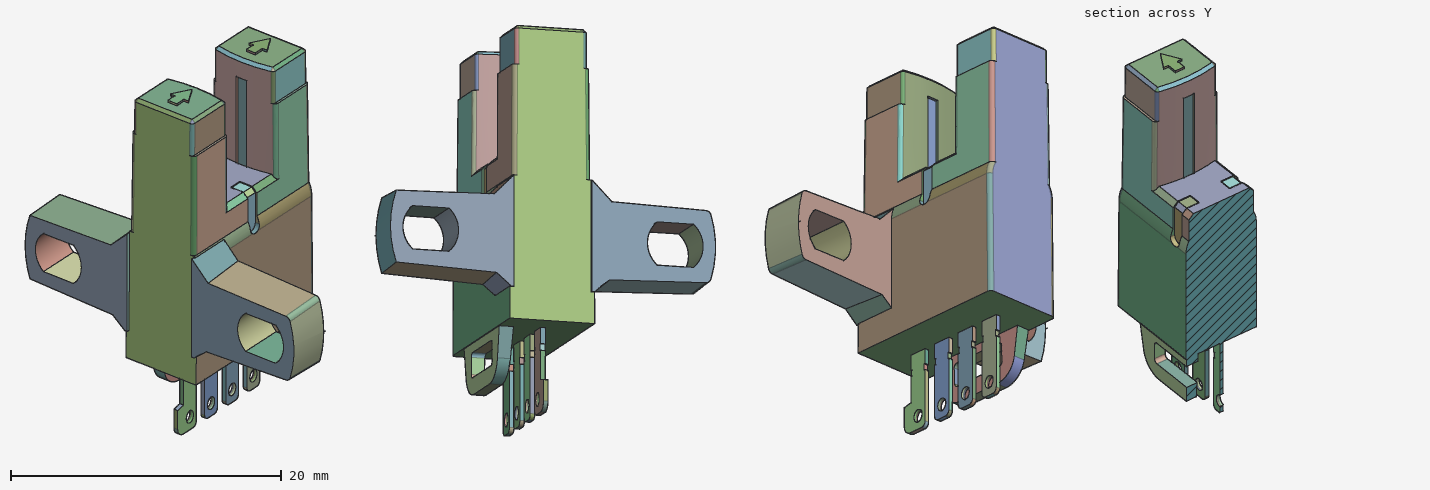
import cadquery as cq

BASE_HALF_WIDTH = 3.29
WALL_TOP_Z = 9.81
SHOULDER_Z = 10.86
ARM_HALF_WIDTH = 3.02
STEP_Z = 19.28
ARM_HALF_WIDTH_AT_STEP = 2.965
CAP_HALF_WIDTH = 2.78
TOP_Z = 22.25
OVERALL_DEPTH = 14.4
BASE_HALF_DEPTH = 7.11
TOP_HALF_DEPTH = 6.86
EDGE_RADIUS = 0.33
CAP_EDGE_RADIUS = 0.27
CAP_CHAMFER = 0.25

GAP_FLOOR_Z = 13.24
GAP_HALF_MIDDLE = 2.53
GAP_HALF_SIDE = 2.92
GAP_CHAMFER = 0.42
RIM_SEARCH = 0.2

SLIT_WIDTH = 1.0
SLIT_TOP_Z = 20.6
SLIT_BOTTOM_Z = GAP_FLOOR_Z - 0.4
SLIT_BACK_Y = 2.75

GROOVE_WIDTH = 1.07
GROOVE_BOTTOM_Z = 9.72
GROOVE_DEPTH = 0.15
GROOVE_FLOOR_DEPTH = 0.08
GROOVE_INNER_X = 1.42

EAR_FRONT_Y = BASE_HALF_DEPTH - OVERALL_DEPTH
EAR_ROOT_BACK_Y = -3.5
EAR_TIP_BACK_Y = -3.7
EAR_ROOT_X = 3.02
EAR_ROOT_TOP_Z = 10.8
EAR_ROOT_BOTTOM_Z = 2.39
EAR_FOOT_X = 3.25
EAR_BEND_X = 4.42
EAR_BEND_TOP_Z = 9.4
EAR_LOWER_BEND_X = 4.25
EAR_BEND_BOTTOM_Z = 3.2
EAR_CORNER_X = 12.14
EAR_CORNER_TOP_Z = 9.2
EAR_CORNER_BOTTOM_Z = 3.48
EAR_SPAN = 25.19
EAR_TIP_X = EAR_SPAN / 2
EAR_DRAFT = 0.14
EAR_CORNER_RADIUS = 0.45
HOLE_X = 9.47
HOLE_Z = 6.33
HOLE_RADIUS = 2.15
HOLE_HEIGHT = 3.26

TERMINAL_PITCH = 2.54
TERMINAL_COUNT = 4
TERMINAL_ROW_Y = -0.1
TERMINAL_X = 0.04
TERMINAL_THICKNESS = 0.36
TERMINAL_WIDTH = 1.54
TERMINAL_BOTTOM_Z = -6.4
TERMINAL_CORNER = 0.4
TERMINAL_EMBED = 1.0
EYE_Z = -5.29
EYE_WIDTH = 0.84
EYE_HEIGHT = 1.02
NECK_TOP_Z = -1.23
NECK_BOTTOM_Z = -1.73
NECK_DEPTH = 0.1
HOOK_TOP_Z = -3.93
HOOK_REACH = 0.7
HOOK_SLOPE = 0.15
HOOK_RADIUS = 0.7

TAB_OUTER_X = -3.22
TAB_INNER_TOP_X = -2.12
TAB_INNER_BOTTOM_X = -2.28
TAB_BOTTOM_Z = -3.92
TAB_TOP_HALF = 4.3
TAB_BOTTOM_HALF = 3.55
TAB_RADIUS = 1.95
WINDOW_WIDTH = 5.06
WINDOW_TOP_Z = -0.7
WINDOW_BOTTOM_Z = -2.6
WINDOW_RADIUS = 0.3

ARROW_HEIGHT = 0.17
ARROW_LENGTH = 2.35
ARROW_HEAD_LENGTH = 1.5
ARROW_HEAD_HALF = 0.85
ARROW_SHAFT_HALF = 0.42
ARROW_TIP_Y = (6.02, -3.4)

BIG = 40.0


def half_depth(z):
    """Housing half depth along Y at height z."""
    return BASE_HALF_DEPTH + (TOP_HALF_DEPTH - BASE_HALF_DEPTH) * z / TOP_Z


def drafted_depth(profile, z_low, z_high):
    """Extrude an XZ profile and trim it to the drafted front and back faces."""
    low = half_depth(z_low)
    high = half_depth(z_high)
    side = (
        cq.Workplane("YZ")
        .polyline([(-low, z_low), (low, z_low), (high, z_high), (-high, z_high)])
        .close()
        .extrude(BIG, both=True)
    )
    return profile.extrude(BIG, both=True).intersect(side)


def gap_cutter(floor_z):
    """Space between the arms, with outward-bulging arm faces."""
    side_x = ARM_HALF_WIDTH
    return (
        cq.Workplane("XY")
        .workplane(offset=floor_z)
        .moveTo(-side_x, -GAP_HALF_SIDE)
        .threePointArc((0, -GAP_HALF_MIDDLE), (side_x, -GAP_HALF_SIDE))
        .lineTo(side_x, GAP_HALF_SIDE)
        .threePointArc((0, GAP_HALF_MIDDLE), (-side_x, GAP_HALF_SIDE))
        .close()
        .extrude(TOP_Z)
    )


def lower_body():
    """Straight-sided base with rounded shoulders and rounded rear corners."""
    profile = (
        cq.Workplane("XZ")
        .lineTo(BASE_HALF_WIDTH, 0)
        .lineTo(BASE_HALF_WIDTH, WALL_TOP_Z)
        .tangentArcPoint((ARM_HALF_WIDTH, SHOULDER_Z), relative=False)
        .lineTo(0, SHOULDER_Z)
        .mirrorY()
    )
    body = drafted_depth(profile, 0, SHOULDER_Z)
    return body.faces(">Y").edges("not #Z").edges("not |X").fillet(EDGE_RADIUS)


def block(half_low, half_high, z_low, z_high):
    """Drafted block whose half width changes evenly from bottom to top."""
    profile = (
        cq.Workplane("XZ")
        .polyline([(-half_low, z_low), (half_low, z_low), (half_high, z_high), (-half_high, z_high)])
        .close()
    )
    return drafted_depth(profile, z_low, z_high)


def arms():
    """Both arms up to the step, with rounded corners, joined by the chamfered gap floor."""
    full = block(ARM_HALF_WIDTH, ARM_HALF_WIDTH_AT_STEP, SHOULDER_Z, STEP_Z)
    uprights = full.cut(gap_cutter(SHOULDER_Z))
    uprights = uprights.edges("not(#Z or |X or |Y or %CIRCLE)").fillet(EDGE_RADIUS)
    bridge_size = 2 * (GAP_HALF_SIDE + EDGE_RADIUS)
    bridge_height = GAP_FLOOR_Z - SHOULDER_Z
    bridge = cq.Workplane("XY", origin=(0, 0, SHOULDER_Z)).box(
        BIG, bridge_size, bridge_height, centered=(True, True, False)
    )
    bridge = full.intersect(bridge).edges("|Y and >Z").chamfer(GAP_CHAMFER)
    return uprights.union(bridge)


def caps():
    """Narrower arm tops with rounded corners and a chamfered top edge."""
    solid = block(CAP_HALF_WIDTH, CAP_HALF_WIDTH, STEP_Z, TOP_Z).cut(gap_cutter(GAP_FLOOR_Z))
    solid = solid.edges("not #Z").edges("not |X").edges("not %CIRCLE").fillet(CAP_EDGE_RADIUS)
    return solid.faces(">Z").chamfer(CAP_CHAMFER)


def slits():
    """Beam slits in both facing arm faces, running on just below the gap floor."""
    depth = SLIT_BACK_Y - GAP_HALF_MIDDLE
    centre_y = GAP_HALF_MIDDLE + depth / 2
    return (
        cq.Workplane("XY", origin=(0, 0, SLIT_BOTTOM_Z))
        .pushPoints([(0, -centre_y), (0, centre_y)])
        .rect(SLIT_WIDTH, depth)
        .extrude(SLIT_TOP_Z - SLIT_BOTTOM_Z)
    )


def groove(side):
    """Shallow round-ended groove down one side wall and over the gap rim."""
    wall_x = ARM_HALF_WIDTH - GROOVE_DEPTH
    floor_z = GAP_FLOOR_Z - GROOVE_FLOOR_DEPTH
    chamfer_x = ARM_HALF_WIDTH - GAP_CHAMFER - GROOVE_FLOOR_DEPTH
    chamfer_drop = wall_x - chamfer_x
    depth_profile = (
        cq.Workplane("XZ")
        .moveTo(side * wall_x, 0)
        .lineTo(side * wall_x, floor_z - chamfer_drop)
        .lineTo(side * chamfer_x, floor_z)
        .lineTo(side * GROOVE_INNER_X, floor_z)
        .lineTo(side * GROOVE_INNER_X, STEP_Z)
        .lineTo(side * BIG, STEP_Z)
        .lineTo(side * BIG, 0)
        .close()
        .extrude(BIG, both=True)
    )
    half = GROOVE_WIDTH / 2
    outline = (
        cq.Workplane("YZ")
        .moveTo(half, STEP_Z)
        .lineTo(half, GROOVE_BOTTOM_Z + half)
        .threePointArc((0, GROOVE_BOTTOM_Z), (-half, GROOVE_BOTTOM_Z + half))
        .lineTo(-half, STEP_Z)
        .close()
        .extrude(BIG, both=True)
    )
    return depth_profile.intersect(outline)


def ear_outline(plane, draft):
    """Right-hand ear outline; draft draws the upper and lower edges inward."""
    return (
        plane.moveTo(EAR_ROOT_X, EAR_ROOT_TOP_Z)
        .lineTo(EAR_BEND_X + draft, EAR_BEND_TOP_Z - draft)
        .lineTo(EAR_CORNER_X, EAR_CORNER_TOP_Z - draft)
        .threePointArc((EAR_TIP_X, HOLE_Z), (EAR_CORNER_X, EAR_CORNER_BOTTOM_Z + draft))
        .lineTo(EAR_LOWER_BEND_X + draft, EAR_BEND_BOTTOM_Z + draft)
        .lineTo(EAR_FOOT_X, EAR_ROOT_BOTTOM_Z)
        .lineTo(EAR_ROOT_X, EAR_ROOT_BOTTOM_Z)
        .close()
    )


def ear():
    """Right-hand mounting ear with its flat-sided hole, corners still sharp."""
    front = cq.Workplane("XZ", origin=(0, EAR_ROOT_BACK_Y, 0))
    thickness = EAR_ROOT_BACK_Y - EAR_FRONT_Y
    solid = ear_outline(ear_outline(front, 0).workplane(offset=thickness), EAR_DRAFT).loft(ruled=True)
    sloped_back = (
        cq.Workplane("XY")
        .polyline([
            (EAR_ROOT_X, EAR_ROOT_BACK_Y),
            (EAR_TIP_X, EAR_TIP_BACK_Y),
            (EAR_TIP_X, EAR_ROOT_BACK_Y),
        ])
        .close()
        .extrude(SHOULDER_Z)
    )
    hole = cq.Workplane("XZ", origin=(HOLE_X, 0, HOLE_Z)).circle(HOLE_RADIUS).extrude(BIG, both=True)
    flats = cq.Workplane("XY", origin=(HOLE_X, 0, HOLE_Z)).box(BIG, BIG, HOLE_HEIGHT)
    return solid.cut(sloped_back).cut(hole.intersect(flats))


def ears():
    """Both ears; only the right-hand one has rounded tip corners."""
    right = ear()
    left = right.mirror("YZ")
    tip_corners = cq.selectors.BoxSelector(
        (EAR_CORNER_X - RIM_SEARCH, -BIG, 0), (EAR_CORNER_X + RIM_SEARCH, BIG, SHOULDER_Z)
    )
    right = right.edges(tip_corners).edges("not #Y").fillet(EAR_CORNER_RADIUS)
    return left.union(right)


def terminal(centre_y, hooked):
    """One flat solder terminal with waisted neck and wire eye; the front one has a hook."""
    back = centre_y + TERMINAL_WIDTH / 2
    front = centre_y - TERMINAL_WIDTH / 2
    height = TERMINAL_EMBED - TERMINAL_BOTTOM_Z
    plane = cq.Workplane("YZ", origin=(TERMINAL_X - TERMINAL_THICKNESS / 2, 0, 0))
    blade = plane.center(centre_y, TERMINAL_BOTTOM_Z + height / 2).rect(TERMINAL_WIDTH, height)
    blade = blade.extrude(TERMINAL_THICKNESS)
    if hooked:
        hook = (
            cq.Workplane(plane.plane)
            .polyline([
                (centre_y, TERMINAL_BOTTOM_Z),
                (centre_y, HOOK_TOP_Z),
                (front, HOOK_TOP_Z),
                (front - HOOK_REACH, HOOK_TOP_Z - HOOK_SLOPE),
                (front - HOOK_REACH, TERMINAL_BOTTOM_Z),
            ])
            .close()
            .extrude(TERMINAL_THICKNESS)
        )
        blade = blade.union(hook)
        blade = blade.edges("|X and <Z and <Y").fillet(HOOK_RADIUS)
        blade = blade.edges("|X and <Z and >Y").fillet(TERMINAL_CORNER)
    else:
        blade = blade.edges("|X and <Z").fillet(TERMINAL_CORNER)
    eye = cq.Workplane("YZ", origin=(0, centre_y, EYE_Z)).ellipse(EYE_WIDTH / 2, EYE_HEIGHT / 2)
    blade = blade.cut(eye.extrude(BIG, both=True))
    neck_middle = (NECK_TOP_Z + NECK_BOTTOM_Z) / 2
    neck_height = NECK_TOP_Z - NECK_BOTTOM_Z
    for edge_y in (front, back):
        notch = cq.Workplane("XY").box(BIG, 2 * NECK_DEPTH, neck_height)
        blade = blade.cut(notch.translate((0, edge_y, neck_middle)))
    return blade


def guard_tab():
    """Rounded, windowed tab whose inner face slopes outward toward its bottom edge."""
    outline = (
        cq.Workplane("YZ")
        .polyline([
            (-TAB_TOP_HALF, 0),
            (TAB_TOP_HALF, 0),
            (TAB_BOTTOM_HALF, TAB_BOTTOM_Z),
            (-TAB_BOTTOM_HALF, TAB_BOTTOM_Z),
        ])
        .close()
        .extrude(BIG, both=True)
        .edges("|X and <Z")
        .fillet(TAB_RADIUS)
    )
    thickness_profile = (
        cq.Workplane("XZ")
        .polyline([
            (TAB_OUTER_X, 0),
            (TAB_INNER_TOP_X, 0),
            (TAB_INNER_BOTTOM_X, TAB_BOTTOM_Z),
            (TAB_OUTER_X, TAB_BOTTOM_Z),
        ])
        .close()
        .extrude(BIG, both=True)
    )
    window_height = WINDOW_TOP_Z - WINDOW_BOTTOM_Z
    window = cq.Workplane("XY").box(BIG, WINDOW_WIDTH, window_height).edges("|X").fillet(WINDOW_RADIUS)
    window = window.translate((0, 0, (WINDOW_TOP_Z + WINDOW_BOTTOM_Z) / 2))
    return outline.intersect(thickness_profile).cut(window)


def arrow(tip_y):
    """Raised arrow pointing toward +Y."""
    neck_y = tip_y - ARROW_HEAD_LENGTH
    return (
        cq.Workplane("XY", origin=(0, 0, TOP_Z))
        .moveTo(0, tip_y)
        .lineTo(ARROW_HEAD_HALF, neck_y)
        .lineTo(ARROW_SHAFT_HALF, neck_y)
        .lineTo(ARROW_SHAFT_HALF, tip_y - ARROW_LENGTH)
        .lineTo(0, tip_y - ARROW_LENGTH)
        .mirrorY()
        .extrude(ARROW_HEIGHT)
    )


housing = lower_body().union(arms()).union(caps())
housing = housing.cut(slits()).union(ears())
for side in (-1, 1):
    housing = housing.cut(groove(side))

result = housing.union(guard_tab())
for index in range(TERMINAL_COUNT):
    offset = (index - (TERMINAL_COUNT - 1) / 2) * TERMINAL_PITCH
    result = result.union(terminal(TERMINAL_ROW_Y + offset, hooked=index == 0))
for tip_y in ARROW_TIP_Y:
    result = result.union(arrow(tip_y))